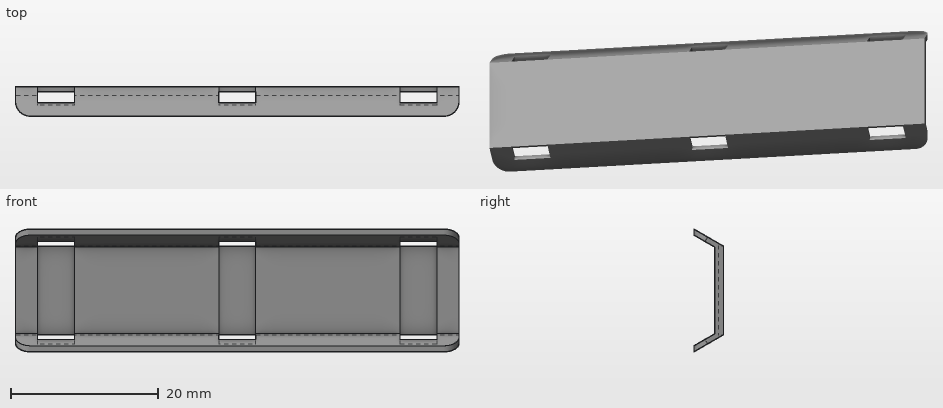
import cadquery as cq
import math

length = 60.0
depth = 4.0
height = 16.6
web_thickness = 1.2
flange_thickness = 0.7
flange_angle = math.radians(30)
corner_radius = 2.05

channel_width = 5.0
channel_end_margin = 3.0
channel_floor = 0.7
channel_depth = 2.15

half_height = height / 2
slope = math.tan(flange_angle)
half_web = half_height - depth * slope
flange_rise = flange_thickness / math.cos(flange_angle)
channel_spacing = (length - channel_width) / 2 - channel_end_margin


def channel_profile():
    """Flared channel section: back of the web on Y = 0, flanges toward -Y."""
    inner_corner = half_web + web_thickness * slope - flange_rise
    inner_tip = half_height - flange_rise
    upper_half = [
        (0, half_web),
        (-depth, half_height),
        (-depth, inner_tip),
        (-web_thickness, inner_corner),
    ]
    lower_half = [(y, -z) for y, z in reversed(upper_half)]
    body = cq.Workplane("YZ").polyline(upper_half + lower_half).close()
    return body.extrude(length / 2, both=True)


def rounded_envelope():
    """Full-height block with rounded vertical edges at the flange tips."""
    block = cq.Workplane("XY").box(length, depth, height)
    return block.edges("|Z and <Y").fillet(corner_radius).translate((0, -depth / 2, 0))


def strap_cutter(x_center):
    """Space taken by a strap that passes in front of the web and out through both flanges.

    The end wall of each slot is square to its flange, so it leans along the flange normal.
    """
    slot_outer_z = half_web + channel_depth * slope
    slot_inner_y = channel_depth + flange_thickness * math.sin(flange_angle)
    slot_inner_z = slot_outer_z - flange_thickness * math.cos(flange_angle)
    upper_half = [
        (-channel_floor, half_web),
        (0, half_web),
        (0, slot_outer_z),
        (-channel_depth, slot_outer_z),
        (-slot_inner_y, slot_inner_z),
        (-channel_depth, half_web - flange_rise),
    ]
    lower_half = [(y, -z) for y, z in reversed(upper_half)]
    cutter = cq.Workplane("YZ").polyline(upper_half + lower_half).close()
    return cutter.extrude(channel_width / 2, both=True).translate((x_center, 0, 0))


result = channel_profile().intersect(rounded_envelope())
for x_center in (-channel_spacing, 0, channel_spacing):
    result = result.cut(strap_cutter(x_center))